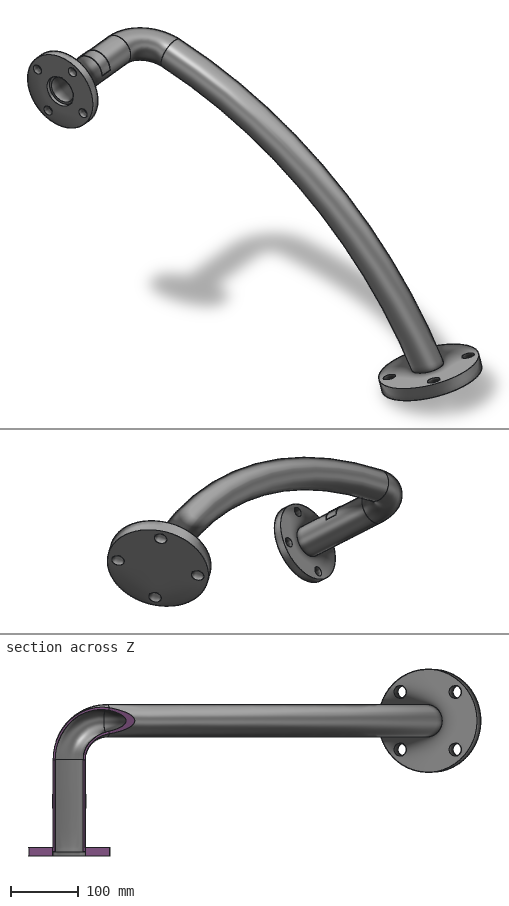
import cadquery as cq
import math

OVERALL_LENGTH = 668.0

TUBE_RADIUS = 24.0
TUBE_WALL = 3.7
BORE_RADIUS = TUBE_RADIUS - TUBE_WALL

INLET_RADIUS = 60.0
INLET_THICKNESS = 13.0
INLET_HOLE_RADIUS = 7.5
INLET_BOLT_RADIUS = 47.5

BASE_RADIUS = 76.0
BASE_THICKNESS = 20.0
BASE_HOLE_RADIUS = 9.5
BASE_BOLT_RADIUS = 60.0
BASE_CENTRE_Z = -382.0

HOLES_PER_FLANGE = 4
FIRST_HOLE_ANGLE = 180 / HOLES_PER_FLANGE
TILT_DEGREES = 17.0
TILT = math.radians(TILT_DEGREES)
BASE_CENTRE_X = OVERALL_LENGTH - INLET_RADIUS - BASE_RADIUS * math.cos(TILT) - BASE_THICKNESS * math.sin(TILT)

PIPE_START_Y = 6.0
PIPE_END_Y = 142.0
LABEL_WIDTH = 20.0
LABEL_MIDDLE_Y = 81.0
LABEL_THICKNESS = 1.0

ELBOW_RADIUS = 57.5
ELBOW_TURN = 90
ARC_RADIUS = 717.5
ARC_START_ANGLE = 13.4
ARC_PLANE_Y = PIPE_END_Y + ELBOW_RADIUS

SLOPE = math.radians(ARC_START_ANGLE)
ELBOW_REACH_X = ELBOW_RADIUS * math.cos(SLOPE)
ELBOW_REACH_Z = -ELBOW_RADIUS * math.sin(SLOPE)


def y_cylinder(radius, start_y, length):
    """Cylinder along +Y on the inlet axis."""
    return cq.Workplane("XZ", origin=(0, start_y, 0)).circle(radius).extrude(-length)


def bolt_holes(plane, bolt_radius, hole_radius, depth, first_angle):
    """Ring of bolt hole cutters starting on the given plane."""
    return (
        cq.Workplane(plane)
        .polarArray(bolt_radius, first_angle, 360, HOLES_PER_FLANGE)
        .circle(hole_radius)
        .extrude(depth)
    )


def make_inlet_flange():
    """Disc with a through socket that the straight pipe enters from behind, and bolt holes."""
    back_face = cq.Plane(origin=(0, INLET_THICKNESS, 0), xDir=(1, 0, 0), normal=(0, -1, 0))
    disc = y_cylinder(INLET_RADIUS, 0, INLET_THICKNESS)
    socket = y_cylinder(TUBE_RADIUS, 0, INLET_THICKNESS)
    first_angle = FIRST_HOLE_ANGLE + TILT_DEGREES
    holes = bolt_holes(back_face, INLET_BOLT_RADIUS, INLET_HOLE_RADIUS, INLET_THICKNESS, first_angle)
    return disc.cut(socket).cut(holes)


def make_straight_pipe():
    """Tube from inside the inlet socket to the elbow."""
    length = PIPE_END_Y - PIPE_START_Y
    outside = y_cylinder(TUBE_RADIUS, PIPE_START_Y, length)
    bore = y_cylinder(BORE_RADIUS, PIPE_START_Y, length)
    return outside.cut(bore)


def make_label():
    """Thin half sleeve lying on the upper side of the straight pipe."""
    start_y = LABEL_MIDDLE_Y - LABEL_WIDTH / 2
    outer_radius = TUBE_RADIUS + LABEL_THICKNESS
    outside = y_cylinder(outer_radius, start_y, LABEL_WIDTH)
    sleeve = outside.cut(y_cylinder(TUBE_RADIUS, start_y, LABEL_WIDTH))
    upper_half = cq.Workplane("XY", origin=(0, LABEL_MIDDLE_Y, 0)).box(
        2 * outer_radius, LABEL_WIDTH, outer_radius, centered=(True, True, False)
    )
    return sleeve.intersect(upper_half)


def make_elbow():
    """Quarter turn from +Y to the starting direction of the curved pipe."""
    start = cq.Plane(
        origin=(0, PIPE_END_Y, 0),
        xDir=(math.cos(SLOPE), 0, -math.sin(SLOPE)),
        normal=(0, 1, 0),
    )
    return (
        cq.Workplane(start)
        .circle(TUBE_RADIUS)
        .circle(BORE_RADIUS)
        .revolve(ELBOW_TURN, (ELBOW_RADIUS, 0, 0), (ELBOW_RADIUS, 1, 0))
    )


def base_plane():
    """Upper face of the base flange, its normal pointing down into the disc."""
    return cq.Plane(
        origin=(BASE_CENTRE_X, ARC_PLANE_Y, BASE_CENTRE_Z),
        xDir=(math.cos(TILT), 0, math.sin(TILT)),
        normal=(math.sin(TILT), 0, -math.cos(TILT)),
    )


def make_base_disc():
    """Base flange without its bolt holes."""
    return cq.Workplane(base_plane()).circle(BASE_RADIUS).extrude(BASE_THICKNESS)


def make_base_flange():
    """Tilted disc with a ring of bolt holes."""
    holes = bolt_holes(base_plane(), BASE_BOLT_RADIUS, BASE_HOLE_RADIUS, BASE_THICKNESS, FIRST_HOLE_ANGLE)
    return make_base_disc().cut(holes)


def make_curved_pipe():
    """Arc in a plane of constant Y, trimmed flush with the upper face of the base flange."""
    start = cq.Plane(
        origin=(ELBOW_REACH_X, ARC_PLANE_Y, ELBOW_REACH_Z),
        xDir=(math.sin(SLOPE), 0, math.cos(SLOPE)),
        normal=(math.cos(SLOPE), 0, -math.sin(SLOPE)),
    )
    centre_x = ELBOW_REACH_X - ARC_RADIUS * math.sin(SLOPE)
    centre_z = ELBOW_REACH_Z - ARC_RADIUS * math.cos(SLOPE)
    base_angle = math.degrees(math.atan2(BASE_CENTRE_X - centre_x, BASE_CENTRE_Z - centre_z))
    inside_disc = math.degrees(BASE_THICKNESS / 2 / ARC_RADIUS)
    sweep = base_angle + inside_disc - ARC_START_ANGLE
    tube = (
        cq.Workplane(start)
        .circle(TUBE_RADIUS)
        .circle(BORE_RADIUS)
        .revolve(sweep, (-ARC_RADIUS, 0, 0), (-ARC_RADIUS, -1, 0))
    )
    return tube.cut(make_base_disc())


inlet_flange = make_inlet_flange()
straight_pipe = make_straight_pipe()
label = make_label()
elbow = make_elbow()
curved_pipe = make_curved_pipe()
base_flange = make_base_flange()

result = cq.Compound.makeCompound(
    [
        inlet_flange.val(),
        straight_pipe.val(),
        label.val(),
        elbow.val(),
        curved_pipe.val(),
        base_flange.val(),
    ]
)